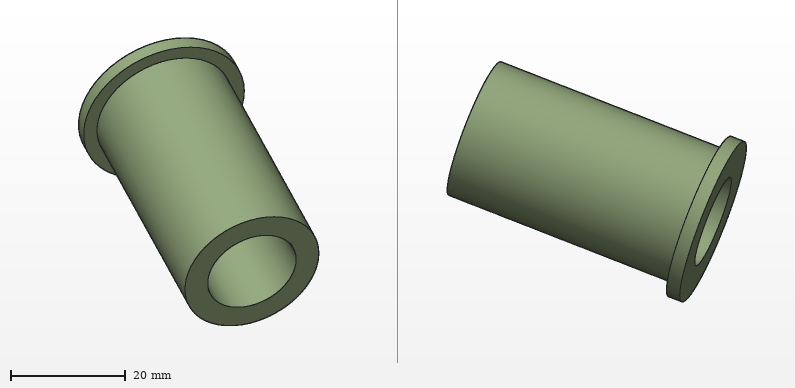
import cadquery as cq

length = 45.0
flange_diameter = 30.0
flange_thickness = 2.5
body_diameter = 25.0
bore_diameter = 16.5

flange_face_x = -length / 2


def cylinder_along_x(diameter, height):
    """Cylinder starting at the flange face and running toward +X."""
    plane = cq.Workplane("YZ", origin=(flange_face_x, 0, 0))
    return plane.circle(diameter / 2).extrude(height)


body = cylinder_along_x(body_diameter, length)
flange = cylinder_along_x(flange_diameter, flange_thickness)
bore = cylinder_along_x(bore_diameter, length)

result = body.union(flange).cut(bore)